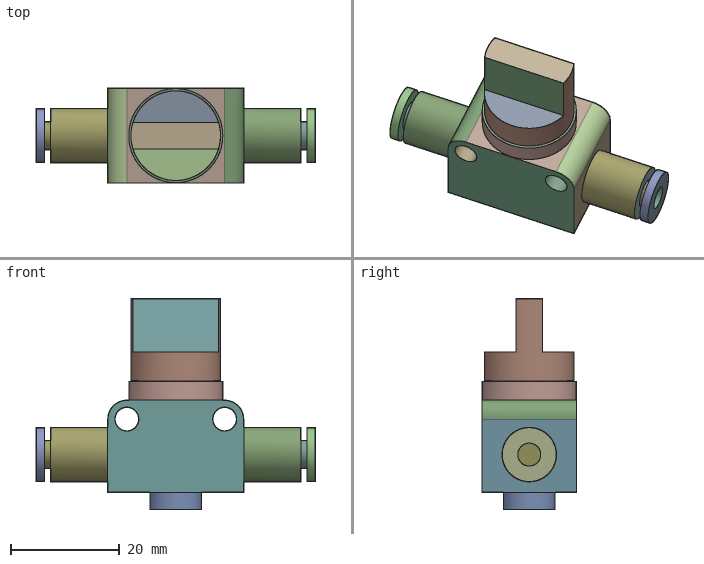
import cadquery as cq

body_length = 25.05
body_depth = 17.5
body_height = 16.95
corner_radius = 3.55

mount_hole_diameter = 4.3
mount_hole_spacing = 18.0
mount_hole_drop = 3.5

overall_length = 51.4
port_height = 6.95
barrel_diameter = 10.0
barrel_end = 23.05
neck_diameter = 5.2
release_ring_diameter = 9.9
release_ring_width = 1.6
bore_diameter = 4.2
bore_depth = 10.3

boss_diameter = 9.5
boss_height = 3.2

collar_diameter = 17.3
collar_height = 3.45
knob_diameter = 16.5
knob_base_height = 5.35
handle_height = 9.75
handle_thickness = 4.95
spindle_diameter = 14.0
knob_gap = 0.1


def make_body():
    block = cq.Workplane("XY").box(body_length, body_depth, body_height, centered=(True, True, False))
    return block.edges("|Y and >Z").fillet(corner_radius)


def make_mount_holes():
    return (
        cq.Workplane("XZ", origin=(0, 0, body_height - mount_hole_drop))
        .pushPoints([(-mount_hole_spacing / 2, 0), (mount_hole_spacing / 2, 0)])
        .circle(mount_hole_diameter / 2)
        .extrude(body_depth, both=True)
    )


def rod_along_x(start, end, diameter):
    return cq.Workplane("YZ", origin=(start, 0, port_height)).circle(diameter / 2).extrude(end - start)


def make_fitting():
    """Fitting on the +X end, starting at the middle of the body."""
    tip = overall_length / 2
    barrel = rod_along_x(0, barrel_end, barrel_diameter)
    neck = rod_along_x(0, tip, neck_diameter)
    ring = rod_along_x(tip - release_ring_width, tip, release_ring_diameter)
    return barrel.union(neck).union(ring)


def make_bore():
    """Blind tube socket in the +X end."""
    tip = overall_length / 2
    return rod_along_x(tip - bore_depth, tip, bore_diameter)


def make_boss():
    return cq.Workplane("XY").circle(boss_diameter / 2).extrude(-boss_height)


def make_knob():
    collar = cq.Workplane("XY", origin=(0, 0, body_height)).circle(collar_diameter / 2).extrude(collar_height)

    collar_top = body_height + collar_height
    spindle = cq.Workplane("XY", origin=(0, 0, collar_top)).circle(spindle_diameter / 2).extrude(knob_gap)
    base_bottom = collar_top + knob_gap
    base = cq.Workplane("XY", origin=(0, 0, base_bottom)).circle(knob_diameter / 2).extrude(knob_base_height)

    handle_bottom = base_bottom + knob_base_height
    slab = cq.Workplane("XY", origin=(0, 0, handle_bottom)).box(
        knob_diameter, handle_thickness, handle_height, centered=(True, True, False)
    )
    outline = cq.Workplane("XY", origin=(0, 0, handle_bottom)).circle(knob_diameter / 2).extrude(handle_height)
    return collar.union(spindle).union(base).union(slab.intersect(outline))


fitting = make_fitting()
bore = make_bore()
result = (
    make_body()
    .union(fitting)
    .union(fitting.mirror("YZ"))
    .cut(bore)
    .cut(bore.mirror("YZ"))
    .union(make_boss())
    .union(make_knob())
    .cut(make_mount_holes())
)